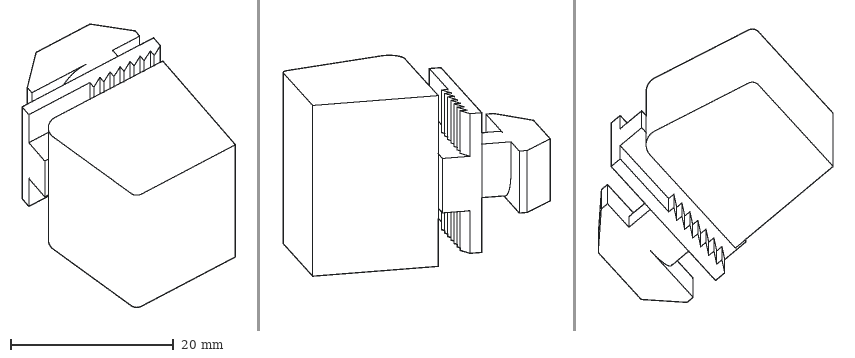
import cadquery as cq
import math

total_length = 30.5
head_thickness = 5.0
head_span = 16.0
head_chamfer = 4.0
shaft_size = 8.0
shaft_length = 4.5

plate_thickness = 1.5
plate_height = 18.0
plate_top_y = 7.0
plate_bottom_y = -12.5
tooth_count = 7
tooth_pitch = 1.5
tooth_angle = 30.0
tooth_depth = tooth_pitch * math.tan(math.radians(tooth_angle))

rib_height = 7.0
rib_length = 3.5

body_height = 22.0
body_top_y = 5.0
body_corner_y = -13.45
body_taper_angle = 13.0
large_corner_radius = 2.0
small_corner_radius = 1.0

plate_x = head_thickness + shaft_length
plate_face_x = plate_x + plate_thickness
body_x = plate_face_x + rib_length
body_length = total_length - body_x


def extrude_outline(points, height):
    """Extrude an XY outline symmetrically about the XY plane."""
    return cq.Workplane("XY").polyline(points).close().extrude(height / 2, both=True)


def make_head():
    """Hammer head with both outer ends chamfered."""
    half_span = head_span / 2
    outline = [
        (0, half_span - head_chamfer),
        (head_chamfer, half_span),
        (head_thickness, half_span),
        (head_thickness, -half_span),
        (head_chamfer, -half_span),
        (0, head_chamfer - half_span),
    ]
    return extrude_outline(outline, shaft_size)


def make_shaft():
    """Square shaft with two opposite corners fully rounded for a quarter turn."""
    radius = shaft_size / 2
    mid = radius * math.sqrt(0.5)
    return (
        cq.Workplane("YZ", origin=(head_thickness, 0, 0))
        .moveTo(0, radius)
        .lineTo(radius, radius)
        .lineTo(radius, 0)
        .threePointArc((mid, -mid), (0, -radius))
        .lineTo(-radius, -radius)
        .lineTo(-radius, 0)
        .threePointArc((-mid, mid), (0, radius))
        .close()
        .extrude(shaft_length)
    )


def make_toothed_plate():
    """Plate with saw teeth along the +Y part of its inner face."""
    outline = [
        (plate_face_x, plate_bottom_y),
        (plate_x, plate_bottom_y),
        (plate_x, plate_top_y),
        (plate_face_x, plate_top_y),
    ]
    for tooth in range(1, tooth_count + 1):
        tooth_y = plate_top_y - tooth * tooth_pitch
        outline.append((plate_face_x + tooth_depth, tooth_y))
        outline.append((plate_face_x, tooth_y))
    return extrude_outline(outline, plate_height)


def make_rib():
    """Full-width rib joining the plate to the body."""
    outline = [
        (plate_face_x, plate_bottom_y),
        (body_x, plate_bottom_y),
        (body_x, plate_top_y),
        (plate_face_x, plate_top_y),
    ]
    return extrude_outline(outline, rib_height)


def make_body():
    """Block with a tapered -Y side and rounded corners at both ends of the taper."""
    taper_rise = body_length * math.tan(math.radians(body_taper_angle))
    outline = [
        (body_x, body_corner_y),
        (total_length, body_corner_y + taper_rise),
        (total_length, body_top_y),
        (body_x, body_top_y),
    ]
    body = extrude_outline(outline, body_height)
    body = body.edges("|Z and <X").edges("<Y").fillet(large_corner_radius)
    return body.edges("|Z and >X").edges("<Y").fillet(small_corner_radius)


result = (
    make_head()
    .union(make_shaft())
    .union(make_toothed_plate())
    .union(make_rib())
    .union(make_body())
)